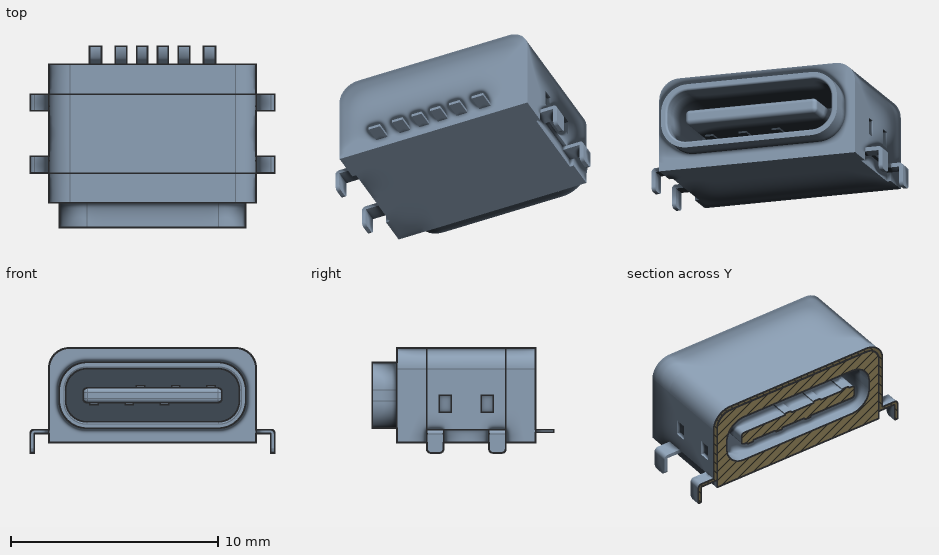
import cadquery as cq


HOUSING_WIDTH = 10.01
HOUSING_HEIGHT = 4.58
HOUSING_LENGTH = 6.69
CORNER_RADIUS = 1.0

AXIS_Z = HOUSING_HEIGHT / 2
COLLAR_WIDTH = 8.99
COLLAR_HEIGHT = 3.17
COLLAR_RADIUS = 1.32
COLLAR_LENGTH = 1.19
COLLAR_WALL = 0.31
CAVITY_DEPTH = 5.19
MOUTH_ROUND = 0.1

TONGUE_WIDTH = 6.7
TONGUE_HEIGHT = 0.71
TONGUE_RECESS = 0.2
TONGUE_ROUND = 0.2

PAD_WIDTH = 0.4
PAD_HEIGHT = 0.1
PAD_LENGTH = 2.95
PAD_PITCH = 1.7
PAD_COUNT = 3
FIRST_PAD_X = -2.82

SHEET = 0.2
SHELL_LENGTH = 3.81
SHELL_BOTTOM_Z = 0.64
SHELL_FRONT_Y = (HOUSING_LENGTH - SHELL_LENGTH) / 2

WINDOW_LENGTH = 0.59
WINDOW_HEIGHT = 0.81
WINDOW_PITCH = 2.03

LEG_SPAN = 11.8
LEG_WIDTH = 0.81
LEG_DROP = 0.5
LEG_TIP_ROUND = 0.2

TAILS = [(2.75, 0.6), (1.52, 0.57), (0.5, 0.53)]
TAIL_LENGTH = 0.87
TAIL_THICKNESS = 0.14
TAIL_TOP_Z = SHELL_BOTTOM_Z


def block(x_range, y_range, z_range):
    """Axis-aligned box between the given limits."""
    (x0, x1), (y0, y1), (z0, z1) = x_range, y_range, z_range
    return cq.Workplane("XY").box(x1 - x0, y1 - y0, z1 - z0, centered=False).translate((x0, y0, z0))


def arched_block(inset, y_start, length, bottom_z):
    """Length of the housing outline, set in from its sides and top, with rounded upper edges."""
    half = HOUSING_WIDTH / 2 - inset
    body = block((-half, half), (y_start, y_start + length), (bottom_z, HOUSING_HEIGHT - inset))
    return body.edges("|Y and >Z").fillet(CORNER_RADIUS - inset)


def rounded_bar(inset, depth):
    """Collar outline set in by a margin, running back from the collar rim."""
    bar = cq.Workplane("XY").box(
        COLLAR_WIDTH - 2 * inset, depth, COLLAR_HEIGHT - 2 * inset, centered=(True, False, True)
    )
    return bar.edges("|Y").fillet(COLLAR_RADIUS - inset).translate((0, -COLLAR_LENGTH, AXIS_Z))


def make_socket_body():
    """Housing block with the collar, its cavity and the rounded mouth."""
    body = arched_block(0, 0, HOUSING_LENGTH, 0)
    body = body.union(rounded_bar(0, COLLAR_LENGTH + SHELL_FRONT_Y))
    body = body.cut(rounded_bar(COLLAR_WALL, CAVITY_DEPTH))
    rim_middle = (0, -COLLAR_LENGTH, AXIS_Z - COLLAR_HEIGHT / 2 + COLLAR_WALL)
    return body.edges(cq.selectors.NearestToPointSelector(rim_middle)).fillet(MOUTH_ROUND)


def make_tongue():
    """Flat tongue joined to the cavity's back wall, every free edge rounded."""
    length = CAVITY_DEPTH - TONGUE_RECESS
    tongue = cq.Workplane("XY").box(TONGUE_WIDTH, length, TONGUE_HEIGHT, centered=(True, False, True))
    tongue = tongue.edges("<Y or |Y").fillet(TONGUE_ROUND)
    return tongue.translate((0, TONGUE_RECESS - COLLAR_LENGTH, AXIS_Z))


def make_pads():
    """Contact pads under the tongue, and the same row turned half round on top of it."""
    cavity_back_y = CAVITY_DEPTH - COLLAR_LENGTH
    half_stack = TONGUE_HEIGHT / 2 + PAD_HEIGHT
    pads = cq.Workplane("XY")
    for index in range(PAD_COUNT):
        x = FIRST_PAD_X + index * PAD_PITCH
        y_range = (cavity_back_y - PAD_LENGTH, cavity_back_y)
        lower = block((x - PAD_WIDTH / 2, x + PAD_WIDTH / 2), y_range, (AXIS_Z - half_stack, AXIS_Z))
        upper = block((-x - PAD_WIDTH / 2, -x + PAD_WIDTH / 2), y_range, (AXIS_Z, AXIS_Z + half_stack))
        pads = pads.add(lower).add(upper)
    return pads


def make_tails():
    """Mirrored pairs of solder tails behind the housing."""
    tails = cq.Workplane("XY")
    y_range = (HOUSING_LENGTH, HOUSING_LENGTH + TAIL_LENGTH)
    z_range = (TAIL_TOP_Z - TAIL_THICKNESS, TAIL_TOP_Z)
    for distance, width in TAILS:
        for x in (-distance, distance):
            tails = tails.add(block((x - width / 2, x + width / 2), y_range, z_range))
    return tails


def make_shell_groove():
    """Band of material removed from the housing for the shell, open down to the underside."""
    outer = arched_block(0, SHELL_FRONT_Y, SHELL_LENGTH, 0)
    return outer.cut(arched_block(SHEET, SHELL_FRONT_Y, SHELL_LENGTH, 0))


def make_housing():
    """Housing with its tongue, pads and tails, grooved for the shell."""
    housing = make_socket_body().union(make_tongue())
    for part in make_pads().vals() + make_tails().vals():
        housing = housing.union(cq.Workplane(part))
    return housing.cut(make_shell_groove())


def make_leg(y_start):
    """Leg on the +X side: runs outward under the shell wall, then bends down round a sharp inner corner."""
    inner_x = HOUSING_WIDTH / 2 - SHEET
    outer_x = LEG_SPAN / 2
    outline = (
        cq.Workplane("XZ")
        .moveTo(inner_x, SHELL_BOTTOM_Z)
        .lineTo(outer_x - SHEET, SHELL_BOTTOM_Z)
        .radiusArc((outer_x, SHELL_BOTTOM_Z - SHEET), SHEET)
        .lineTo(outer_x, -LEG_DROP)
        .lineTo(outer_x - SHEET, -LEG_DROP)
        .lineTo(outer_x - SHEET, SHELL_BOTTOM_Z - SHEET)
        .lineTo(inner_x, SHELL_BOTTOM_Z - SHEET)
        .close()
    )
    leg = outline.extrude(-LEG_WIDTH).translate((0, y_start, 0))
    return leg.edges("|X and <Z").fillet(LEG_TIP_ROUND)


def make_shell():
    """Sheet-metal band over the housing with two windows and two legs on each side."""
    shell = arched_block(0, SHELL_FRONT_Y, SHELL_LENGTH, SHELL_BOTTOM_Z)
    shell = shell.cut(arched_block(SHEET, SHELL_FRONT_Y, SHELL_LENGTH, SHELL_BOTTOM_Z))
    shell_middle_y = HOUSING_LENGTH / 2
    for side in (-1, 1):
        y = shell_middle_y + side * WINDOW_PITCH / 2
        y_range = (y - WINDOW_LENGTH / 2, y + WINDOW_LENGTH / 2)
        shell = shell.cut(block((-LEG_SPAN / 2, LEG_SPAN / 2), y_range, (AXIS_Z - WINDOW_HEIGHT, AXIS_Z)))
    for y_start in (SHELL_FRONT_Y, SHELL_FRONT_Y + SHELL_LENGTH - LEG_WIDTH):
        leg = make_leg(y_start)
        shell = shell.union(leg).union(leg.mirror("YZ"))
    return shell


housing = make_housing()
shell = make_shell()
result = cq.Compound.makeCompound([housing.solids().val(), shell.solids().val()])